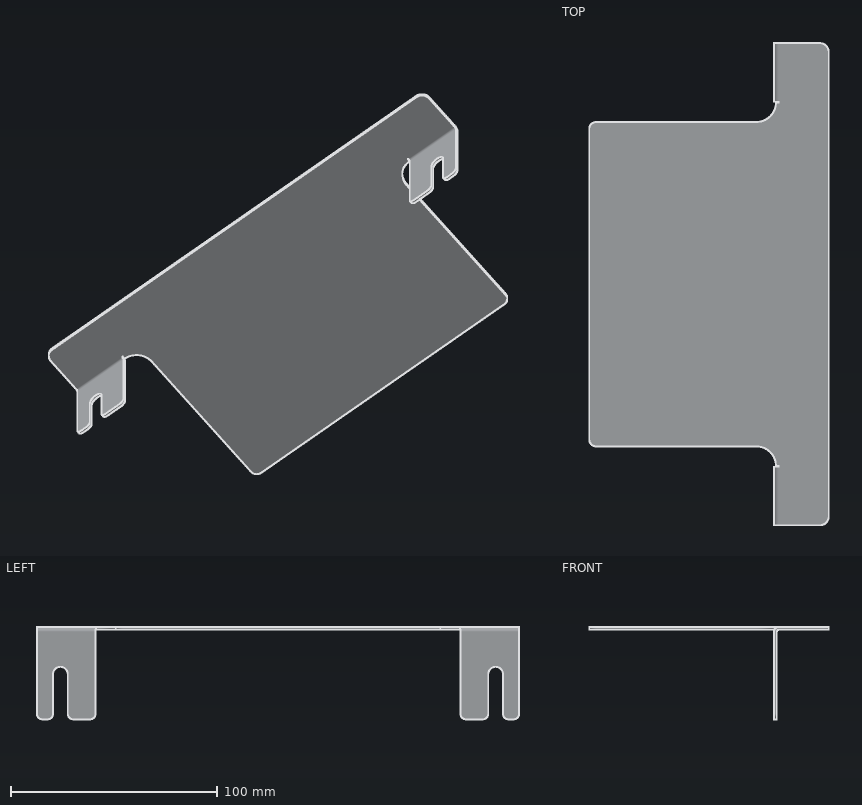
import cadquery as cq
import math

DIAGONAL = math.sqrt(0.5)

length_x = 116.2
length_y = 233.9
height = 45.0
thickness = 1.5

wing_width = 26.7
panel_length_y = 157.5
back_corner_radius = 4.5
front_corner_radius = 3.5
neck_radius = 9.4
relief_width = 1.5

bend_outer_radius = 2.3
bend_inner_radius = bend_outer_radius - thickness
tab_width = 28.5
tab_corner_radius = 2.8
slot_width = 7.0
slot_depth = 25.5
slot_from_end = 11.5

back_x = length_x
tab_outer_x = back_x - wing_width
bend_line_x = tab_outer_x + bend_outer_radius
neck_x = bend_line_x - relief_width
end_y = length_y / 2
panel_y = panel_length_y / 2
neck_y = panel_y + neck_radius
slot_y = end_y - slot_from_end


def make_plate():
    """Flat T-shaped plate, ending at the bend lines of the tabs."""
    panel = (
        cq.Workplane("XY")
        .box(neck_x, panel_length_y, thickness, centered=(False, True, False))
        .edges("|Z and <X")
        .fillet(front_corner_radius)
    )
    wing = (
        cq.Workplane("XY")
        .box(back_x - bend_line_x, length_y, thickness, centered=(False, True, False))
        .translate((bend_line_x, 0, 0))
        .edges("|Z and >X")
        .fillet(back_corner_radius)
    )
    plate = panel.union(wing)
    for side in (1, -1):
        plate = plate.union(make_neck(side))
    return plate.translate((0, 0, -thickness))


def make_neck(side):
    """Concave corner piece joining the panel to the wing at one end (side is +1 or -1)."""
    corner_x = neck_x - neck_radius
    diagonal = neck_radius * DIAGONAL
    return (
        cq.Workplane("XY")
        .moveTo(corner_x, side * panel_y)
        .threePointArc((corner_x + diagonal, side * (neck_y - diagonal)), (neck_x, side * neck_y))
        .lineTo(bend_line_x, side * neck_y)
        .lineTo(bend_line_x, 0)
        .lineTo(corner_x, 0)
        .close()
        .extrude(thickness)
    )


def make_tab():
    """Bent tab at the +Y end, with an open slot in its lower edge."""
    outer_mid = bend_outer_radius * (1 - DIAGONAL)
    inner_offset = bend_outer_radius - bend_inner_radius * DIAGONAL
    tab = (
        cq.Workplane("XZ", origin=(0, end_y, 0))
        .moveTo(bend_line_x, 0)
        .threePointArc((tab_outer_x + outer_mid, -outer_mid), (tab_outer_x, -bend_outer_radius))
        .lineTo(tab_outer_x, -height)
        .lineTo(tab_outer_x + thickness, -height)
        .lineTo(tab_outer_x + thickness, -bend_outer_radius)
        .threePointArc((tab_outer_x + inner_offset, -inner_offset), (bend_line_x, -thickness))
        .close()
        .extrude(tab_width)
    )
    tab = tab.edges("|X and <Z").fillet(tab_corner_radius)
    slot_radius = slot_width / 2
    slot_top = slot_depth - height
    slot = (
        cq.Workplane("YZ", origin=(tab_outer_x, 0, 0))
        .moveTo(slot_y - slot_radius, -height)
        .lineTo(slot_y - slot_radius, slot_top - slot_radius)
        .threePointArc((slot_y, slot_top), (slot_y + slot_radius, slot_top - slot_radius))
        .lineTo(slot_y + slot_radius, -height)
        .close()
        .extrude(thickness)
    )
    tab = tab.cut(slot)
    prong_width = slot_from_end - slot_radius
    mouth_reach = slot_radius + prong_width / 4
    mouth_corners = cq.selectors.BoxSelector(
        (tab_outer_x, slot_y - mouth_reach, -height - thickness),
        (tab_outer_x + thickness, slot_y + mouth_reach, -height + thickness),
    )
    return tab.edges("|X").edges(mouth_corners).fillet(tab_corner_radius)


tab = make_tab()
result = make_plate().union(tab).union(tab.mirror("XZ"))